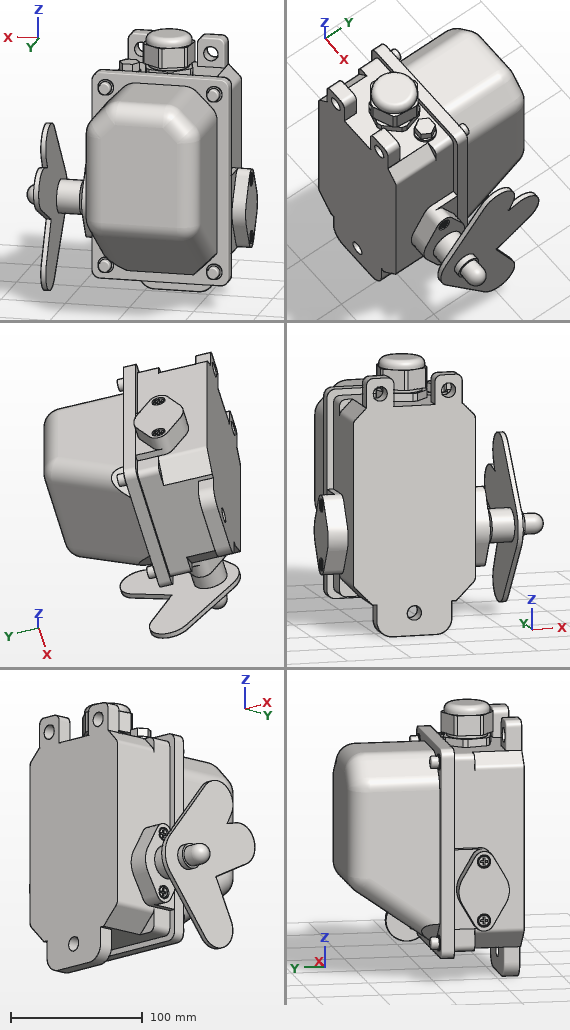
import cadquery as cq
import math


base_width = 96.3
base_depth = 54.8
base_bottom = 25.3
base_top = 177.9
base_middle = (base_bottom + base_top) / 2
base_corner_radius = 5.0
top_chamfer = 10.2
bottom_chamfer = 15.3
chamfer_depth = 38.2

lug_thickness = 12.1
lug_edge_radius = 1.0
lug_hole_diameter = 11.0
top_lug_width = 21.5
top_lug_offset = 27.0
top_lug_height = 200.5
top_lug_corner = 5.0
top_lug_hole_height = 188.3
bottom_lug_width = 59.1
bottom_lug_corner = 12.3
bottom_lug_hole_height = 17.5

shaft_y = 33.9
shaft_z = 75.0
boss_reach = 64.0
boss_radius = 19.5
boss_end_radius = 8.0
boss_screw_offset = 22.8
boss_screw_bore = 10.0
boss_screw_bore_depth = 1.7
boss_screw_head = 8.2
boss_screw_head_height = 1.0
cross_slot_length = 5.5
cross_slot_width = 1.3
cross_slot_depth = 0.6

plug_x = 29.3
plug_y = 42.2
plug_washer_diameter = 17.1
plug_washer_height = 2.0
plug_hex_corners = 15.9
plug_height = 8.8

flange_width = 106.8
flange_bottom = 21.0
flange_top = 182.9
flange_thickness = 9.8
flange_corner_radius = 6.5
flange_edge_radius = 0.6
flange_face = base_depth + flange_thickness

dome_width = 89.0
dome_margin = 6.3
dome_bottom = flange_bottom + dome_margin
dome_top = flange_top - dome_margin
dome_face = 133.0
dome_chamfer = 19.9
dome_corner_radius = 15.0
dome_edge_radius = 14.8
underside_start = 28.5
underside_slope = 35.0

screw_inset = 11.0
washer_diameter = 12.1
washer_thickness = 0.8
screw_head_diameter = 9.5
screw_head_height = 5.9
screw_head_rounding = 1.0

gland_y = 35.3
gland_top = 209.0
lower_hex_flats = 35.3
lower_hex_corners = 38.7
lower_hex_angle = 46.0
lower_hex_height = 6.0
gland_neck_diameter = 31.1
gland_neck_height = 2.7
nut_flats = 35.7
nut_corners = 39.7
nut_angle = 24.0
nut_height = 15.5
gland_cap_diameter = 35.1
gland_cap_rounding = 5.0

shaft_diameter = 7.5
hub_diameter = 26.1
hub_start = 67.3
plate_start = 85.0
plate_end = 89.0
plate_thickness = plate_end - plate_start
plate_center_radius = 22.5
arm_length = 58.5
arm_end_radius = 16.3
arm_angles = (57.0, 20.0, -57.0)
collar_diameter = 19.2
collar_end = 94.3
knob_diameter = 15.9
knob_tip = 111.0


def box_between(x_range, y_range, z_range):
    """Box given by its lower and upper limit along each axis."""
    size = [high - low for low, high in (x_range, y_range, z_range)]
    return cq.Workplane("XY").box(*size, centered=False).translate((x_range[0], y_range[0], z_range[0]))


def cylinder_along(axis, point, diameter, length):
    """Cylinder that starts at the point and runs along the axis."""
    return cq.Workplane(cq.Solid.makeCylinder(diameter / 2, length, cq.Vector(*point), cq.Vector(*axis)))


def tangent_offset(center_distance, radius, end_radius):
    """Unit normal, along and across the centre line, of a line touching two circles on the same side."""
    along = (radius - end_radius) / center_distance
    return along, math.sqrt(1 - along ** 2)


def tapered_arm(center_distance, radius, end_radius, thickness):
    """Plate in local XY with a circle at the origin and a smaller one along +X, joined by tangent lines."""
    along, across = tangent_offset(center_distance, radius, end_radius)
    end_x = center_distance + end_radius * along
    return (
        cq.Workplane("XY")
        .moveTo(radius * along, radius * across)
        .threePointArc((-radius, 0), (radius * along, -radius * across))
        .lineTo(end_x, -end_radius * across)
        .threePointArc((center_distance + end_radius, 0), (end_x, end_radius * across))
        .close()
        .extrude(thickness)
    )


def face_sideways(shape, x, angle):
    """Turn a local XY plate about its origin, then lay it across the shaft with local X as +Y, Y as +Z."""
    turned = shape.rotate((0, 0, 0), (0, 0, 1), angle)
    across = turned.rotate((0, 0, 0), (1, 1, 1), 120)
    return across.translate((x, shaft_y, shaft_z))


def base_body():
    body = box_between((-base_width / 2, base_width / 2), (0, base_depth), (base_bottom, base_top))
    body = body.edges("|Y").fillet(base_corner_radius)
    block = box_between((-base_width / 2, base_width / 2), (0, chamfer_depth), (base_bottom, base_top))
    block = block.edges("|Y and >Z").chamfer(top_chamfer)
    block = block.edges("|Y and <Z").chamfer(bottom_chamfer)
    block = block.edges("|Y").edges("<X or >X").fillet(base_corner_radius)
    rear = box_between((-base_width / 2, base_width / 2), (0, chamfer_depth), (base_bottom, base_top))
    return body.cut(rear).union(block)


def lug(x, width, z_range, corner_edges, corner_radius, hole_height):
    plate = box_between((x - width / 2, x + width / 2), (0, lug_thickness), z_range)
    plate = plate.edges("|Y").edges(corner_edges).fillet(corner_radius)
    plate = plate.faces(">Y").edges().fillet(lug_edge_radius)
    hole = cylinder_along((0, 1, 0), (x, 0, hole_height), lug_hole_diameter, lug_thickness)
    return plate, hole


def bearing_boss(side):
    """Boss with two tapered ends; a pad under it fills the flank up to the cover flange."""
    inner_x = base_width / 2
    pad_x = flange_width / 2
    arm = tapered_arm(boss_screw_offset, boss_radius, boss_end_radius, boss_reach - inner_x)
    boss = face_sideways(arm, inner_x, 90).union(face_sideways(arm, inner_x, -90))
    half_height = boss_screw_offset + boss_end_radius
    pad = box_between((inner_x, pad_x), (shaft_y, base_depth), (shaft_z - half_height, shaft_z + half_height))
    boss = boss.union(pad)
    for screw_z in (shaft_z - boss_screw_offset, shaft_z + boss_screw_offset):
        floor_x = boss_reach - boss_screw_bore_depth
        floor = (floor_x, shaft_y, screw_z)
        head_face = floor_x + boss_screw_head_height
        boss = boss.cut(cylinder_along((1, 0, 0), floor, boss_screw_bore, boss_screw_bore_depth))
        head = cylinder_along((1, 0, 0), floor, boss_screw_head, boss_screw_head_height)
        slot = cq.Workplane("XY").box(2 * cross_slot_depth, cross_slot_length, cross_slot_width)
        slot = slot.union(slot.rotate((0, 0, 0), (1, 0, 0), 90))
        boss = boss.union(head.cut(slot.translate((head_face, shaft_y, screw_z))))
    return boss if side > 0 else boss.mirror("YZ")


def vent_plug():
    washer = cylinder_along((0, 0, 1), (plug_x, plug_y, base_top), plug_washer_diameter, plug_washer_height)
    head = cq.Workplane("XY", origin=(plug_x, plug_y, base_top)).polygon(6, plug_hex_corners).extrude(plug_height)
    return washer.union(head)


def make_base():
    base = base_body()
    lugs = [
        lug(x, top_lug_width, (base_middle, top_lug_height), ">Z", top_lug_corner, top_lug_hole_height)
        for x in (-top_lug_offset, top_lug_offset)
    ]
    lugs.append(lug(0, bottom_lug_width, (0, base_middle), "<Z", bottom_lug_corner, bottom_lug_hole_height))
    for plate, hole in lugs:
        base = base.union(plate).cut(hole)
    for side in (-1, 1):
        base = base.union(bearing_boss(side))
    return base.union(vent_plug())


def cover_flange():
    half_width = flange_width / 2
    flange = box_between((-half_width, half_width), (base_depth, flange_face), (flange_bottom, flange_top))
    flange = flange.edges("|Y").fillet(flange_corner_radius)
    return flange.faces(">Y").edges().fillet(flange_edge_radius)


def corner_wedge(side):
    """Triangular prism that bevels a lower corner of the dome."""
    corner_x = side * dome_width / 2
    return (
        cq.Workplane("XZ", origin=(0, flange_face, 0))
        .moveTo(corner_x, dome_bottom)
        .lineTo(corner_x - side * dome_chamfer, dome_bottom)
        .lineTo(corner_x, dome_bottom + dome_chamfer)
        .close()
        .extrude(flange_face - dome_face)
    )


def cover_dome():
    half_width = dome_width / 2
    slope_rise = (dome_face - flange_face) * math.tan(math.radians(underside_slope))
    dome = (
        cq.Workplane("YZ", origin=(-half_width, 0, 0))
        .moveTo(flange_face, underside_start)
        .lineTo(dome_face, underside_start + slope_rise)
        .lineTo(dome_face, dome_top)
        .lineTo(flange_face, dome_top)
        .close()
        .extrude(dome_width)
    )
    dome = dome.edges("|Y and >Z").chamfer(dome_chamfer)
    dome = dome.edges("|Y").fillet(dome_corner_radius)
    dome = dome.faces(">Y or <Z").edges("not <Y").fillet(dome_edge_radius)
    for side in (-1, 1):
        dome = dome.cut(corner_wedge(side))
    return dome


def cover_screw(x, z):
    washer = cylinder_along((0, 1, 0), (x, flange_face, z), washer_diameter, washer_thickness)
    head_start = (x, flange_face + washer_thickness, z)
    head = cylinder_along((0, 1, 0), head_start, screw_head_diameter, screw_head_height)
    return washer.union(head.faces(">Y").edges().fillet(screw_head_rounding))


def make_cover():
    cover = cover_flange().union(cover_dome())
    screw_x = flange_width / 2 - screw_inset
    for x in (-screw_x, screw_x):
        for z in (flange_bottom + screw_inset, flange_top - screw_inset):
            cover = cover.union(cover_screw(x, z))
    return cover


def rounded_hex(z, flats, corners, angle, height):
    """Hexagonal prism with its corners turned down to a circle."""
    tip_diameter = flats / math.cos(math.radians(30))
    prism = cq.Workplane("XY").polygon(6, tip_diameter).extrude(height).rotate((0, 0, 0), (0, 0, 1), angle)
    turned = cq.Workplane("XY").circle(corners / 2).extrude(height)
    return prism.intersect(turned).translate((0, gland_y, z))


def make_gland():
    neck_z = base_top + lower_hex_height
    nut_z = neck_z + gland_neck_height
    cap_z = nut_z + nut_height
    gland = rounded_hex(base_top, lower_hex_flats, lower_hex_corners, lower_hex_angle, lower_hex_height)
    gland = gland.union(cylinder_along((0, 0, 1), (0, gland_y, neck_z), gland_neck_diameter, gland_neck_height))
    gland = gland.union(rounded_hex(nut_z, nut_flats, nut_corners, nut_angle, nut_height))
    cap = cylinder_along((0, 0, 1), (0, gland_y, cap_z), gland_cap_diameter, gland_top - cap_z)
    return gland.union(cap.faces(">Z").edges().fillet(gland_cap_rounding))


def shaft_profile():
    """Shaft, hub, collar and round-ended knob, turned about the shaft axis."""
    knob_radius = knob_diameter / 2
    ball_x = knob_tip - knob_radius
    ball_step = knob_radius * math.sqrt(0.5)
    return (
        cq.Workplane("XY")
        .moveTo(boss_reach, 0)
        .lineTo(boss_reach, shaft_diameter / 2)
        .lineTo(hub_start, shaft_diameter / 2)
        .lineTo(hub_start, hub_diameter / 2)
        .lineTo(plate_end, hub_diameter / 2)
        .lineTo(plate_end, collar_diameter / 2)
        .lineTo(collar_end, collar_diameter / 2)
        .lineTo(collar_end, knob_radius)
        .lineTo(ball_x, knob_radius)
        .threePointArc((ball_x + ball_step, ball_step), (knob_tip, 0))
        .close()
        .revolve(360, (0, 0, 0), (1, 0, 0))
        .translate((0, shaft_y, shaft_z))
    )


def make_lever():
    lever = shaft_profile()
    arm = tapered_arm(arm_length, plate_center_radius, arm_end_radius, plate_thickness)
    for angle in arm_angles:
        lever = lever.union(face_sideways(arm, plate_start, angle))
    return lever


base = make_base()
cover = make_cover()
gland = make_gland()
lever = make_lever()

result = cq.Compound.makeCompound([base.val(), cover.val(), gland.val(), lever.val()])